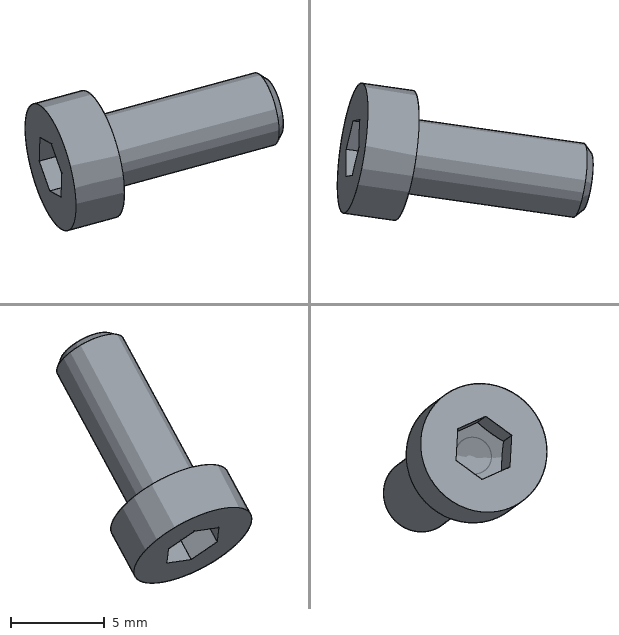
import cadquery as cq
import math

length = 12.8
head_diameter = 7.0
head_height = 2.8
shank_diameter = 4.0
tip_chamfer = 0.44

socket_flats = 3.0
socket_turn = 26.7
socket_depth = 1.59
floor_diameter = 2.0
floor_slope = 30.0
point_slope = 31.0


def screw_body():
    head_radius = head_diameter / 2
    shank_radius = shank_diameter / 2
    profile = (
        cq.Workplane("XY")
        .moveTo(0, 0)
        .lineTo(head_radius, 0)
        .lineTo(head_radius, head_height)
        .lineTo(shank_radius, head_height)
        .lineTo(shank_radius, length - tip_chamfer)
        .lineTo(shank_radius - tip_chamfer, length)
        .lineTo(0, length)
        .close()
    )
    return profile.revolve(360, (0, 0, 0), (0, 1, 0))


def socket():
    corner_radius = socket_flats / math.sqrt(3)
    floor_radius = floor_diameter / 2
    floor_depth = socket_depth + (corner_radius - floor_radius) * math.tan(math.radians(floor_slope))
    point_depth = floor_depth + floor_radius * math.tan(math.radians(point_slope))
    hexagon = (
        cq.Workplane("XZ")
        .polygon(6, 2 * corner_radius)
        .extrude(-point_depth)
        .rotate((0, 0, 0), (0, 1, 0), -socket_turn)
    )
    envelope = (
        cq.Workplane("XY")
        .moveTo(0, 0)
        .lineTo(corner_radius, 0)
        .lineTo(corner_radius, socket_depth)
        .lineTo(floor_radius, floor_depth)
        .lineTo(0, point_depth)
        .close()
        .revolve(360, (0, 0, 0), (0, 1, 0))
    )
    return hexagon.intersect(envelope)


result = screw_body().cut(socket())